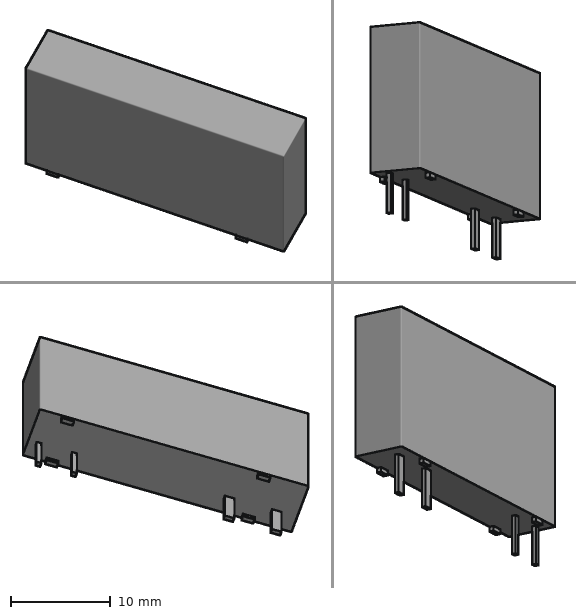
import cadquery as cq

HOUSING_LENGTH = 28.44
HOUSING_WIDTH = 5.58
HOUSING_HEIGHT = 15.0
EDGE_RADIUS = 0.13

OVERALL_HEIGHT = 19.08
PIN_LENGTH = OVERALL_HEIGHT - HOUSING_HEIGHT
PIN_THICKNESS = 0.45
PIN_ROW_Y = 1.11
COIL_PIN_WIDTH = 0.5
COIL_PIN_PITCH = 3.75
COIL_PAIR_INSET = 2.99
COIL_PAIR_X = -HOUSING_LENGTH / 2 + COIL_PAIR_INSET
CONTACT_PIN_WIDTH = 1.0
CONTACT_PIN_PITCH = 5.0
CONTACT_PAIR_INSET = 4.68
CONTACT_PAIR_X = HOUSING_LENGTH / 2 - CONTACT_PAIR_INSET

FOOT_LENGTH = 1.25
FOOT_WIDTH = 0.5
FOOT_HEIGHT = 0.5
FOOT_ROW_Y = (HOUSING_WIDTH - FOOT_WIDTH) / 2


def make_housing():
    """Block with rounded vertical and top edges and a sharp bottom rim."""
    block = cq.Workplane("XY").box(
        HOUSING_LENGTH, HOUSING_WIDTH, HOUSING_HEIGHT, centered=(True, True, False)
    )
    return block.edges("|Z or >Z").fillet(EDGE_RADIUS)


def make_hanging_block(x, y, length, width, depth):
    """Rectangular block centred at (x, y), hanging down from the housing's underside."""
    return cq.Workplane("XY").center(x, y).rect(length, width).extrude(-depth)


def make_pin_pair(pair_x, pitch, pin_width):
    """Two equal pins, spread evenly about the middle of the pair."""
    return [
        make_hanging_block(pair_x + side * pitch / 2, PIN_ROW_Y, pin_width, PIN_THICKNESS, PIN_LENGTH)
        for side in (-1, 1)
    ]


def make_feet():
    """Four feet, two at each pin pair, flush with the long sides of the housing."""
    return [
        make_hanging_block(x, side * FOOT_ROW_Y, FOOT_LENGTH, FOOT_WIDTH, FOOT_HEIGHT)
        for x in (COIL_PAIR_X, CONTACT_PAIR_X)
        for side in (-1, 1)
    ]


housing = make_housing()
coil_pins = make_pin_pair(COIL_PAIR_X, COIL_PIN_PITCH, COIL_PIN_WIDTH)
contact_pins = make_pin_pair(CONTACT_PAIR_X, CONTACT_PIN_PITCH, CONTACT_PIN_WIDTH)
feet = make_feet()

bodies = [housing, *coil_pins, *contact_pins, *feet]
result = cq.Compound.makeCompound([body.val() for body in bodies])